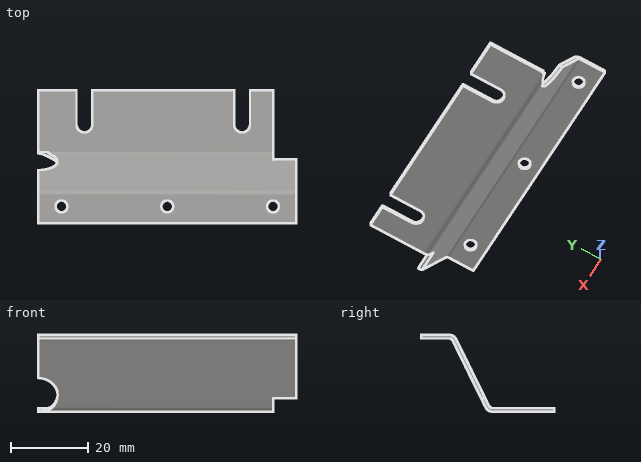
import cadquery as cq
import math

length = 67.0
depth = 34.65
height = 20.0

thickness = 1.0
inner_radius = 1.0
lower_flange = 16.1
upper_flange = 7.3

slot_width = 4.0
slot_depth = 11.0
slot_positions = (12.0, 52.9)

hole_diameter = 3.0
hole_end_distance = 6.0
hole_edge_distance = 4.4
hole_positions = (hole_end_distance, length / 2, length - hole_end_distance)

notch_radius = 5.0
notch_height = 4.2
step_length = 5.95
step_height = 3.5

outer_radius = inner_radius + thickness
middle_radius = inner_radius + thickness / 2
lower_bend_y = depth - lower_flange
lower_bend_z = outer_radius
upper_bend_y = upper_flange
upper_bend_z = height - outer_radius
bend_run = lower_bend_y - upper_bend_y
bend_rise = upper_bend_z - lower_bend_z
web_angle = math.atan2(bend_rise, bend_run) + math.asin(
    2 * middle_radius / math.hypot(bend_run, bend_rise)
)

LOWER = -1
UPPER = 1


def bend_point(side, radius, turn):
    """Point (y, z) on a bend, turned from its flange toward the web."""
    if side == LOWER:
        centre_y, centre_z = lower_bend_y, lower_bend_z
    else:
        centre_y, centre_z = upper_bend_y, upper_bend_z
    return (centre_y + side * radius * math.sin(turn), centre_z + side * radius * math.cos(turn))


def make_bent_sheet():
    half = web_angle / 2
    profile = (
        cq.Workplane("YZ")
        .moveTo(0, height)
        .lineTo(upper_flange, height)
        .threePointArc(bend_point(UPPER, outer_radius, half), bend_point(UPPER, outer_radius, web_angle))
        .lineTo(*bend_point(LOWER, inner_radius, web_angle))
        .threePointArc(bend_point(LOWER, inner_radius, half), bend_point(LOWER, inner_radius, 0))
        .lineTo(depth, thickness)
        .lineTo(depth, 0)
        .lineTo(lower_bend_y, 0)
        .threePointArc(bend_point(LOWER, outer_radius, half), bend_point(LOWER, outer_radius, web_angle))
        .lineTo(*bend_point(UPPER, inner_radius, web_angle))
        .threePointArc(bend_point(UPPER, inner_radius, half), bend_point(UPPER, inner_radius, 0))
        .lineTo(0, height - thickness)
        .close()
    )
    return profile.extrude(length)


def make_slot(x):
    """Slot cutter, open at the back edge and round at its inner end."""
    radius = slot_width / 2
    end_y = depth - slot_depth + radius
    straight = cq.Workplane("XY").center(x, (end_y + depth) / 2).rect(slot_width, depth - end_y)
    round_end = cq.Workplane("XY").center(x, end_y).circle(radius)
    return straight.extrude(thickness).union(round_end.extrude(thickness))


def make_screw_holes():
    points = [(x, hole_edge_distance) for x in hole_positions]
    sheet_bottom = cq.Workplane("XY").workplane(offset=height - thickness)
    return sheet_bottom.pushPoints(points).circle(hole_diameter / 2).extrude(thickness)


def make_web_notch():
    """Cylinder square to the web, centred on the left end of its front face."""
    tangent_y, tangent_z = bend_point(LOWER, outer_radius, web_angle)
    centre_y = tangent_y - (notch_height - tangent_z) / math.tan(web_angle)
    square_to_web = cq.Vector(0, math.sin(web_angle), math.cos(web_angle))
    plane = cq.Plane(
        origin=(0, centre_y, notch_height), xDir=(1, 0, 0), normal=square_to_web.toTuple()
    )
    cutter = cq.Workplane(plane).circle(notch_radius).extrude(2 * thickness, both=True)
    flange = cq.Workplane("XY").box(length, lower_flange, height, centered=False)
    return cutter.cut(flange.translate((0, lower_bend_y, 0)))


def make_end_step():
    """Block that shortens the lower flange and the foot of the web."""
    block = cq.Workplane("XY").box(step_length, depth, step_height, centered=False)
    return block.translate((length - step_length, 0, 0))


result = make_bent_sheet()
for slot_x in slot_positions:
    result = result.cut(make_slot(slot_x))
result = result.cut(make_screw_holes())
result = result.cut(make_web_notch())
result = result.cut(make_end_step())